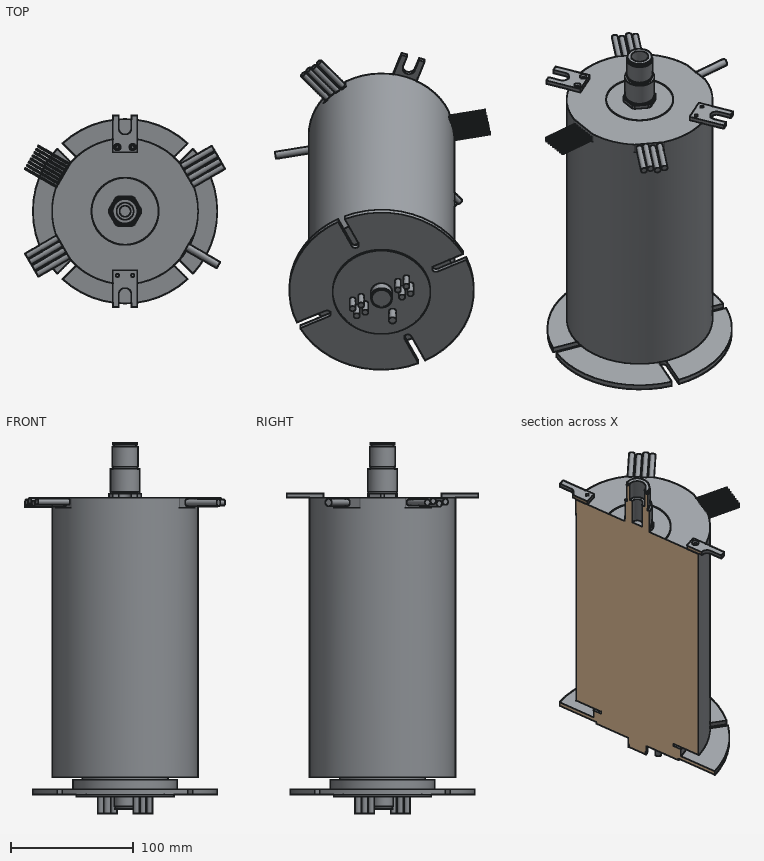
import cadquery as cq
import math

wire_bottom = 0.0
boss_bottom = 13.5
flange_bottom = 15.5
flange_top = 20.0
collar_top = 27.8
housing_bottom = 29.5
housing_top = 257.3
overall_top = 302.0

boss_radius = 40.0
flange_radius = 75.2
collar_radius = 42.5
neck_radius = 35.0
housing_radius = 59.5

flange_slot_width = 6.0
flange_slot_inner = 46.2
slot_angles = (45, 135, 225, 315)

ring_radius = 27.5
ring_width = 0.3
ring_depth = 0.3

notch_width = 24.8
notch_depth = 8.2
notch_distance = math.sqrt(housing_radius**2 - (notch_width / 2) ** 2)
notch_angles = (30, 150, 210, 330)

wire_reach = 88.0
thick_wire_radius = 2.5
single_wire_radius = 3.0
thin_wire_radius = 0.5
thin_rows = 8
thin_row_pitch = 3.0
thin_layer_depths = (4.2, 5.7, 7.2)
single_wire_depth = 4.0
thick_bundle = ((-8.5, 4.0), (-3.0, 2.7), (2.7, 4.8), (8.5, 3.3))

lower_bundle_center = 14.5
lower_bundle_spread = 5.5

nut_across_flats = 24.2
nut_height = 3.3
nut_corner_radius = 13.3
nut_neck_radius = 11.8
fitting_body_bottom = housing_top + 4.8
fitting_body_top = 281.0
fitting_body_radius = 12.0
fitting_groove_top = 282.7
fitting_groove_radius = 10.0
fitting_tip_top = 299.0
fitting_tip_radius = 10.5
cap_groove_radius = 9.0
cap_height = 1.5
cap_radius = 10.0
fitting_bore_radius = 7.0
fitting_bore_depth = 18.0
fluid_bore_radius = 4.5
fluid_bore_depth = 42.3

lower_fitting_radius = 8.8
lower_fitting_bottom = 6.0
lower_groove_radius = 8.0
lower_cap_radius = 8.5
lower_cap_bottom = 3.5
lower_cap_top = 4.5

bracket_width = 20.0
bracket_thickness = 3.5
bracket_inner = 48.0
bracket_span = 156.0
bracket_outer = bracket_span / 2
bracket_slot_width = 10.3
bracket_slot_end = 62.5
bracket_hole_spacing = 12.5
bracket_hole_distance = 52.2
bracket_hole_diameter = 2.7
bracket_sink_diameter = 5.5
bracket_sink_angle = 90


def disc(radius, bottom, top):
    """Round step about the Z axis."""
    return cq.Workplane("XY").workplane(offset=bottom).circle(radius).extrude(top - bottom)


def flange():
    """Bottom flange with its round-ended radial slots."""
    plate = disc(flange_radius, flange_bottom, flange_top)
    half_width = flange_slot_width / 2
    arc_center = flange_slot_inner + half_width
    slot = (
        cq.Workplane("XY", origin=(0, 0, flange_bottom))
        .moveTo(flange_radius, half_width)
        .lineTo(arc_center, half_width)
        .threePointArc((flange_slot_inner, 0), (arc_center, -half_width))
        .lineTo(flange_radius, -half_width)
        .close()
        .extrude(flange_top - flange_bottom)
    )
    for angle in slot_angles:
        plate = plate.cut(slot.rotate((0, 0, 0), (0, 0, 1), angle))
    return plate


def housing_cylinder():
    """Main cylinder with the ring groove and the flat wire notches."""
    cylinder = disc(housing_radius, housing_bottom, housing_top)
    groove = disc(ring_radius, housing_top - ring_depth, housing_top)
    groove = groove.cut(disc(ring_radius - ring_width, housing_top - ring_depth, housing_top))
    cylinder = cylinder.cut(groove)
    notch = cq.Workplane("XY").box(
        housing_radius, notch_width, notch_depth, centered=(False, True, False)
    ).translate((notch_distance, 0, housing_top - notch_depth))
    for angle in notch_angles:
        cylinder = cylinder.cut(notch.rotate((0, 0, 0), (0, 0, 1), angle))
    return cylinder


def side_wire(angle, radius, offset, depth):
    """Wire leaving a notch along the direction `angle`."""
    return (
        cq.Workplane("YZ", origin=(notch_distance, offset, housing_top - depth))
        .circle(radius)
        .extrude(wire_reach - notch_distance)
        .rotate((0, 0, 0), (0, 0, 1), angle)
    )


def side_wires():
    """All the wires that leave the notches."""
    wires = [side_wire(330, single_wire_radius, 0, single_wire_depth)]
    for angle in (30, 210):
        for offset, depth in thick_bundle:
            wires.append(side_wire(angle, thick_wire_radius, offset, depth))
    for depth in thin_layer_depths:
        for row in range(thin_rows):
            offset = (row - (thin_rows - 1) / 2) * thin_row_pitch
            wires.append(side_wire(150, thin_wire_radius, offset, depth))
    return wires


def lower_wire(radius, x, y):
    """Wire hanging from the boss."""
    return disc(radius, wire_bottom, boss_bottom).translate((x, y, 0))


def lower_wires():
    """One single wire and two diamond groups of four thick wires that hang from the boss."""
    wires = [lower_wire(single_wire_radius, -lower_bundle_center, -lower_bundle_center)]
    diamond = (
        (lower_bundle_spread, 0),
        (0, lower_bundle_spread),
        (-lower_bundle_spread, 0),
        (0, -lower_bundle_spread),
    )
    for side in (-1, 1):
        for dx, dy in diamond:
            x = side * lower_bundle_center + dx
            y = -side * lower_bundle_center + dy
            wires.append(lower_wire(thick_wire_radius, x, y))
    return wires


def upper_fitting():
    """Stepped tube fitting with its hexagon nut, whose corners are rounded off."""
    nut_corners = nut_across_flats / math.cos(math.pi / 6)
    fitting = (
        cq.Workplane("XY", origin=(0, 0, housing_top)).polygon(6, nut_corners).extrude(nut_height)
    )
    fitting = fitting.intersect(disc(nut_corner_radius, housing_top, housing_top + nut_height))
    cap_bottom = overall_top - cap_height
    steps = (
        (nut_neck_radius, housing_top + nut_height, fitting_body_bottom),
        (fitting_body_radius, fitting_body_bottom, fitting_body_top),
        (fitting_groove_radius, fitting_body_top, fitting_groove_top),
        (fitting_tip_radius, fitting_groove_top, fitting_tip_top),
        (cap_groove_radius, fitting_tip_top, cap_bottom),
        (cap_radius, cap_bottom, overall_top),
    )
    for radius, bottom, top in steps:
        fitting = fitting.union(disc(radius, bottom, top))
    fitting = fitting.cut(disc(fitting_bore_radius, overall_top - fitting_bore_depth, overall_top))
    return fitting.cut(disc(fluid_bore_radius, overall_top - fluid_bore_depth, overall_top))


def lower_fitting():
    """Small grooved fitting under the boss."""
    return (
        disc(lower_fitting_radius, lower_fitting_bottom, boss_bottom)
        .union(disc(lower_groove_radius, lower_cap_top, lower_fitting_bottom))
        .union(disc(lower_cap_radius, lower_cap_bottom, lower_cap_top))
    )


def slip_ring():
    """Housing, flange, fittings and wires as one solid."""
    body = (
        housing_cylinder()
        .union(disc(neck_radius, collar_top, housing_bottom))
        .union(disc(collar_radius, flange_top, collar_top))
        .union(flange())
        .union(disc(boss_radius, boss_bottom, flange_bottom))
        .union(upper_fitting())
        .union(lower_fitting())
    )
    for wire in side_wires() + lower_wires():
        body = body.union(wire)
    return body


def bracket():
    """Forked bracket on the +Y side with its countersinks facing up."""
    length = bracket_outer - bracket_inner
    half_slot = bracket_slot_width / 2
    slot_arc_center = bracket_slot_end + half_slot
    plate = cq.Workplane("XY").box(
        bracket_width, length, bracket_thickness, centered=(True, False, False)
    ).translate((0, bracket_inner, housing_top))
    slot = (
        cq.Workplane("XY", origin=(0, 0, housing_top))
        .moveTo(-half_slot, bracket_outer)
        .lineTo(-half_slot, slot_arc_center)
        .threePointArc((0, bracket_slot_end), (half_slot, slot_arc_center))
        .lineTo(half_slot, bracket_outer)
        .close()
        .extrude(bracket_thickness)
    )
    half_spacing = bracket_hole_spacing / 2
    return (
        plate.cut(slot)
        .faces(">Z")
        .workplane(origin=(0, 0, housing_top + bracket_thickness))
        .pushPoints([(-half_spacing, bracket_hole_distance), (half_spacing, bracket_hole_distance)])
        .cskHole(bracket_hole_diameter, bracket_sink_diameter, bracket_sink_angle)
    )


def brackets():
    """Two copies of the bracket, the second turned over so its countersinks face down."""
    middle = housing_top + bracket_thickness / 2
    return [bracket().rotate((0, 0, middle), (1, 0, middle), turn) for turn in (0, 180)]


ring_body = slip_ring()
bracket_pair = brackets()

result = cq.Compound.makeCompound([ring_body.val(), *[piece.val() for piece in bracket_pair]])